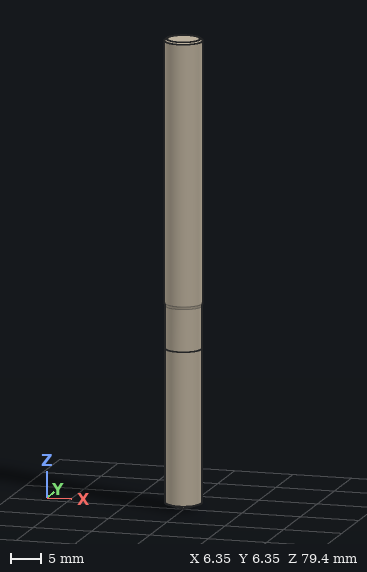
import cadquery as cq
import math

total_length = 79.4
shank_diameter = 6.35
cutter_diameter = 6.1

cutter_length = 27.15
neck_top = 34.4
shoulder_height = 0.5

point_angle = 140.0

chamfer_width = 0.4
chamfer_height = 0.3

shank_radius = shank_diameter / 2
cutter_radius = cutter_diameter / 2
point_height = cutter_radius / math.tan(math.radians(point_angle / 2))
shoulder_top = neck_top + shoulder_height


def revolve_profile(points):
    """Turn a closed (radius, height) outline once round the Z axis."""
    return cq.Workplane("XZ").polyline(points).close().revolve(360, (0, 0, 0), (0, 1, 0))


def make_cutter():
    """Cylindrical cutting section with a conical point."""
    return revolve_profile([
        (0, 0),
        (cutter_radius, point_height),
        (cutter_radius, cutter_length),
        (0, cutter_length),
    ])


def make_shank():
    """Neck, tapered shoulder and chamfered shank, standing on the cutter."""
    return revolve_profile([
        (0, cutter_length),
        (cutter_radius, cutter_length),
        (cutter_radius, neck_top),
        (shank_radius, shoulder_top),
        (shank_radius, total_length - chamfer_height),
        (shank_radius - chamfer_width, total_length),
        (0, total_length),
    ])


cutter = make_cutter()
shank = make_shank()

result = cq.Compound.makeCompound([cutter.val(), shank.val()])